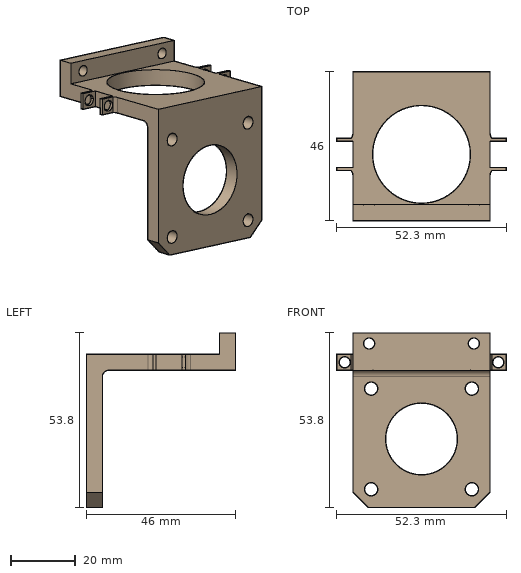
import cadquery as cq

total_width = 52.3
depth = 46.0
height = 53.8

wall = 5.0
lip_rise = 6.55
tab_length = 5.0
body_width = total_width - 2 * tab_length
half_width = body_width / 2
shelf_top = height - lip_rise
shelf_bottom = shelf_top - wall
inner_radius = 1.9
corner_chamfer = 4.75

shelf_bore = 30.0
bore_y = 20.5
motor_bore = 22.0
motor_z = 21.15
motor_hole = 4.0
motor_hole_pitch = 31.0
lip_hole = 3.35
lip_hole_pitch = 32.2
lip_hole_z = 50.5

tab_thickness = 1.0
tab_gap = 7.95
tab_hole = 3.35
root_length = 1.5
root_width = 0.55
root_radius = (root_length**2 + root_width**2) / (2 * root_width)


def cylinder_along_y(x, z, diameter):
    """Cutter through the whole depth of the part."""
    return cq.Workplane("XZ").center(x, z).circle(diameter / 2).extrude(-depth)


def make_body():
    profile = [
        (0, shelf_bottom),
        (0, height),
        (wall, height),
        (wall, shelf_top),
        (depth, shelf_top),
        (depth, 0),
        (depth - wall, 0),
        (depth - wall, shelf_bottom),
    ]
    body = cq.Workplane("YZ").polyline(profile).close().extrude(half_width, both=True)
    inner_corner = cq.selectors.NearestToPointSelector((0, depth - wall, shelf_bottom))
    return body.edges(inner_corner).fillet(inner_radius)


def foot_corner_cut(side):
    """Wedge removed from one lower corner of the upright."""
    edge_x = side * half_width
    corners = [(edge_x, 0), (edge_x - side * corner_chamfer, 0), (edge_x, corner_chamfer)]
    return cq.Workplane("XZ").polyline(corners).close().extrude(-depth)


def make_tab(side, end):
    """Tab on one side of the body (side = +1 or -1 in X), at one end of its pair (+1 or -1 in Y)."""
    root_x = side * half_width
    tip_x = side * total_width / 2
    inner_y = bore_y + end * tab_gap / 2
    outer_y = inner_y + end * tab_thickness
    arc_radius = side * end * root_radius
    return (
        cq.Workplane("XY", origin=(0, 0, shelf_bottom))
        .moveTo(root_x, inner_y)
        .lineTo(tip_x, inner_y)
        .lineTo(tip_x, outer_y)
        .lineTo(root_x + side * root_width, outer_y)
        .radiusArc((root_x, outer_y + end * root_length), arc_radius)
        .close()
        .extrude(wall)
    )


result = make_body()

for side in (-1, 1):
    result = result.cut(foot_corner_cut(side))
    for end in (-1, 1):
        result = result.union(make_tab(side, end))

shelf_cutter = (
    cq.Workplane("XY", origin=(0, bore_y, shelf_bottom)).circle(shelf_bore / 2).extrude(wall)
)
result = result.cut(shelf_cutter)

result = result.cut(cylinder_along_y(0, motor_z, motor_bore))
for x_sign in (-1, 1):
    for z_sign in (-1, 1):
        hole_x = x_sign * motor_hole_pitch / 2
        hole_z = motor_z + z_sign * motor_hole_pitch / 2
        result = result.cut(cylinder_along_y(hole_x, hole_z, motor_hole))

tab_hole_x = half_width + tab_length / 2
tab_hole_z = shelf_bottom + wall / 2
for side in (-1, 1):
    result = result.cut(cylinder_along_y(side * lip_hole_pitch / 2, lip_hole_z, lip_hole))
    result = result.cut(cylinder_along_y(side * tab_hole_x, tab_hole_z, tab_hole))